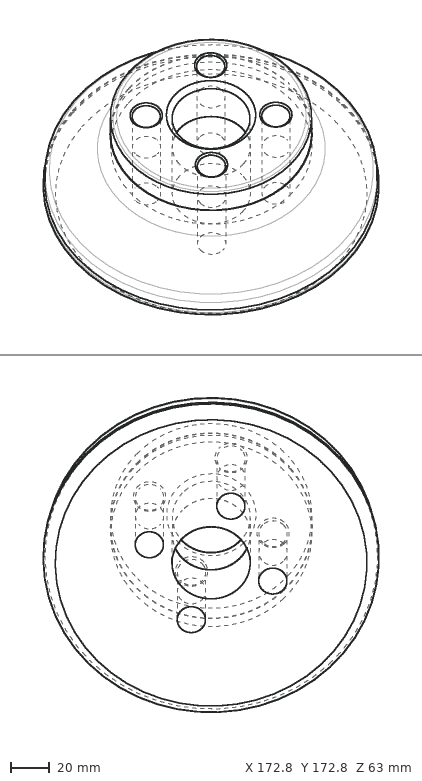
import cadquery as cq
import math

total_height = 63.0
lip_diameter = 172.8

hub_diameter = 103.5
hub_thickness = 25.4
hub_bottom = total_height - hub_thickness
hub_bore = 40.0
bore_chamfer = 3.0
hub_face_diameter = 97.5
hub_bevel_width = 1.9
hub_bevel_drop = 0.5
hub_edge_drop = 1.5

bolt_hole_diameter = 14.5
bolt_hole_chamfer = 1.0
bolt_spacing = 47.2

neck_diameter = 104.0
neck_top = 48.7
neck_radius = 15.0
rim_diameter = 171.0
rim_fillet = 5.0
rim_straight_top = 15.2
flare_angle = math.radians(34)
body_bore = 40.3

lip_top = 9.0
lip_fillet = 0.9
base_chamfer = 6.2


def point_on_arc(center, radius, angle):
    """Point at an angle (radians) on a circle in the radius-height plane."""
    return (center[0] + radius * math.cos(angle), center[1] + radius * math.sin(angle))


def bolt_holes():
    """Four cutters on a square pattern, running through the whole height."""
    return (
        cq.Workplane("XY")
        .rect(bolt_spacing, bolt_spacing, forConstruction=True)
        .vertices()
        .circle(bolt_hole_diameter / 2)
        .extrude(total_height)
    )


def bolt_hole_countersinks():
    """Conical cutters that chamfer the bolt holes at the hub face."""
    cone = cq.Solid.makeCone(
        bolt_hole_diameter / 2,
        bolt_hole_diameter / 2 + bolt_hole_chamfer,
        bolt_hole_chamfer,
    )
    return (
        cq.Workplane("XY", origin=(0, 0, total_height - bolt_hole_chamfer))
        .rect(bolt_spacing, bolt_spacing, forConstruction=True)
        .vertices()
        .eachpoint(lambda place: cone.located(place), combine=True)
    )


def make_hub():
    """Revolved disc with a bevelled, rounded top edge and a chamfered bore."""
    outer = hub_diameter / 2
    bore = hub_bore / 2
    face = hub_face_diameter / 2
    bevel_end = (face + hub_bevel_width, total_height - hub_bevel_drop)
    hub = (
        cq.Workplane("XZ")
        .moveTo(face, total_height)
        .lineTo(*bevel_end)
        .tangentArcPoint((outer, total_height - hub_edge_drop), relative=False)
        .lineTo(outer, hub_bottom)
        .lineTo(bore, hub_bottom)
        .lineTo(bore, total_height - bore_chamfer)
        .lineTo(bore + bore_chamfer, total_height)
        .close()
        .revolve(360, (0, 0, 0), (0, 1, 0))
    )
    return hub.cut(bolt_holes()).cut(bolt_hole_countersinks())


def make_flared_body():
    """Revolved body whose concave neck flares out to a rounded rim with a lip."""
    neck = neck_diameter / 2
    rim = rim_diameter / 2
    lip = lip_diameter / 2
    bore = body_bore / 2
    recess = hub_diameter / 2

    neck_center = (neck + neck_radius, neck_top)
    neck_turn = math.pi / 2 - flare_angle
    neck_middle = point_on_arc(neck_center, neck_radius, math.pi + neck_turn / 2)
    neck_end = point_on_arc(neck_center, neck_radius, math.pi + neck_turn)
    rim_center = (rim - rim_fillet, rim_straight_top)
    rim_start = point_on_arc(rim_center, rim_fillet, neck_turn)
    rim_middle = point_on_arc(rim_center, rim_fillet, neck_turn / 2)

    body = (
        cq.Workplane("XZ")
        .moveTo(recess, neck_top)
        .lineTo(neck, neck_top)
        .threePointArc(neck_middle, neck_end)
        .lineTo(*rim_start)
        .threePointArc(rim_middle, (rim, rim_straight_top))
        .lineTo(rim, lip_top)
        .radiusArc((lip, lip_top - lip_fillet), lip_fillet)
        .lineTo(lip, base_chamfer)
        .lineTo(lip - base_chamfer, 0)
        .lineTo(bore, 0)
        .lineTo(bore, hub_bottom)
        .lineTo(recess, hub_bottom)
        .close()
        .revolve(360, (0, 0, 0), (0, 1, 0))
    )
    return body.cut(bolt_holes())


hub = make_hub()
flared_body = make_flared_body()

result = cq.Compound.makeCompound([hub.val(), flared_body.val()])